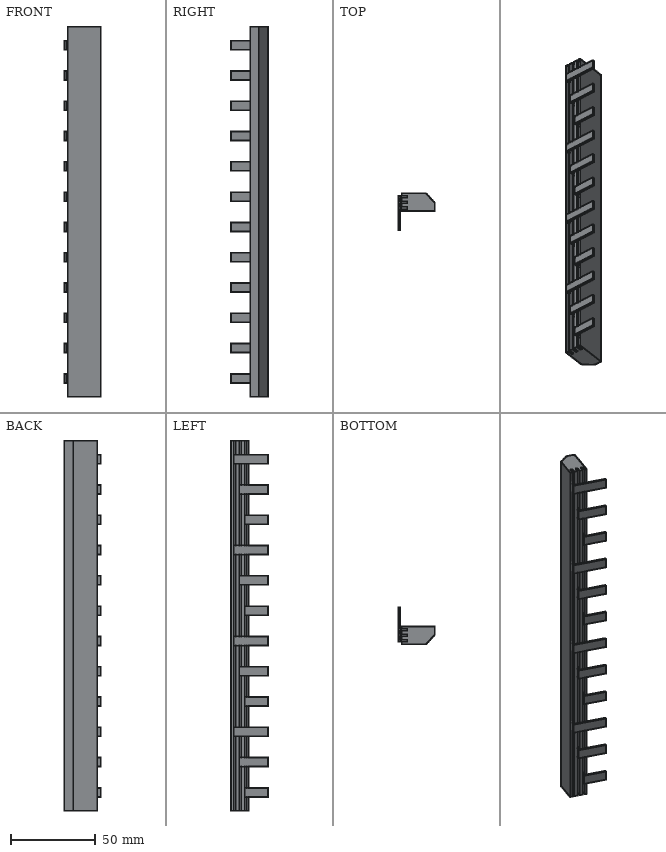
import cadquery as cq

length = 220.0
housing_width = 19.8
housing_depth = 10.8
chamfer_x = 5.3
chamfer_y = 5.7

phases = 3
slot_width = 1.2
slot_depth = 3.5
slot_pitch = 3.3
first_slot_setback = 1.65

tab_count = 12
end_margin = 11.0
tab_pitch = (length - 2 * end_margin) / (tab_count - 1)
tab_height = 5.5
tab_thickness = slot_width
tab_standoff = 2.0
tab_tip_y = -22.2

face_x = tab_standoff
back_x = face_x + housing_width
slot_floor_x = face_x + slot_depth


def box(x_min, x_max, y_min, y_max, z_min, z_max):
    size = (x_max - x_min, y_max - y_min, z_max - z_min)
    return cq.Workplane("XY").box(*size, centered=False).translate((x_min, y_min, z_min))


def slot_top_y(phase):
    return -first_slot_setback - phase * slot_pitch


def housing():
    outline = [
        (face_x, 0),
        (back_x - chamfer_x, 0),
        (back_x, -chamfer_y),
        (back_x, -housing_depth),
        (face_x, -housing_depth),
    ]
    body = cq.Workplane("XY").polyline(outline).close().extrude(length)
    for phase in range(phases):
        top_y = slot_top_y(phase)
        body = body.cut(box(face_x, slot_floor_x, top_y - slot_width, top_y, 0, length))
    return body


def tab(phase, center_z):
    top_y = slot_top_y(phase)
    z_min = center_z - tab_height / 2
    z_max = center_z + tab_height / 2
    root = box(0, slot_floor_x, top_y - slot_width, top_y, z_min, z_max)
    blade = box(0, tab_thickness, tab_tip_y, top_y, z_min, z_max)
    return root.union(blade)


top_tab_z = length - end_margin
result = housing()
for index in range(tab_count):
    result = result.union(tab(index % phases, top_tab_z - index * tab_pitch))